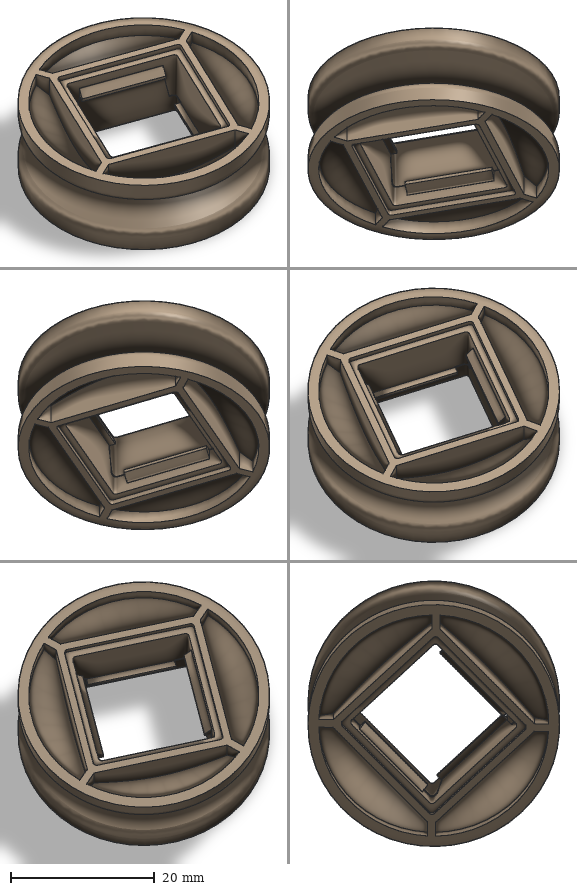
import cadquery as cq
import math

outer_diameter = 35.0
width = 12.0
outer_radius = outer_diameter / 2
half_width = width / 2

groove_slope = math.radians(30)
groove_apex_radius = 12.0
groove_root_fillet = 0.3
rim_fillet = 1.5

shell = 1.5
hub_size = 20.58
spoke_width = 1.12

recess_size = 18.48
recess_depth = 0.8
recess_corner = 0.5
recess_floor = half_width - recess_depth
bore_size = 16.6
bore_corner = 0.5
bore_draft = math.radians(1.5)

rib_length = 12.6
rib_gap = 14.42
rib_lip = 0.5
rib_seat = 2.17
rib_ramp = math.radians(45)
rib_blend = 0.28
rib_embed = 0.18
reach_base_length = 14.35


def groove_profile_height(radius):
    """Height of the upper groove wall above the mid-plane."""
    return (radius - groove_apex_radius) * math.tan(groove_slope)


def make_wheel():
    """Solid wheel with a rounded V groove."""
    blank = cq.Workplane("XY").circle(outer_radius).extrude(half_width, both=True)
    rim_height = groove_profile_height(outer_radius)
    groove = (
        cq.Workplane("XZ")
        .moveTo(groove_apex_radius, 0)
        .lineTo(outer_radius, rim_height)
        .lineTo(outer_radius, -rim_height)
        .close()
        .revolve(360, (0, 0, 0), (0, 1, 0))
    )
    rim_edges = cq.selectors.RadiusNthSelector(-1)
    groove_zone = cq.selectors.BoxSelector(
        (-outer_diameter, -outer_diameter, -(rim_height + half_width) / 2),
        (outer_diameter, outer_diameter, (rim_height + half_width) / 2),
    )
    return (
        blank.cut(groove)
        .edges(cq.selectors.RadiusNthSelector(0))
        .fillet(groove_root_fillet)
        .edges(groove_zone)
        .edges(rim_edges)
        .fillet(rim_fillet)
    )


def make_pockets():
    """Four pockets sunk from the top, split by the square hub and diagonal spokes."""
    inner_radius = outer_radius - shell
    floor_offset = shell / math.cos(groove_slope)
    floor_rim = groove_profile_height(inner_radius) + floor_offset
    floor_axis = groove_profile_height(0) + floor_offset
    bowl = (
        cq.Workplane("XZ")
        .moveTo(0, floor_axis)
        .lineTo(inner_radius, floor_rim)
        .lineTo(inner_radius, half_width)
        .lineTo(0, half_width)
        .close()
        .revolve(360, (0, 0, 0), (0, 1, 0))
    )
    bowl = bowl.cut(cq.Workplane("XY").rect(hub_size, hub_size).extrude(width, both=True))
    for angle in (45, 135):
        spoke = cq.Workplane("XY").rect(outer_diameter, spoke_width).extrude(width, both=True)
        bowl = bowl.cut(spoke.rotate((0, 0, 0), (0, 0, 1), angle))
    return bowl


def make_recess():
    """Shallow square step around the mouth of the bore, at the top."""
    return (
        cq.Workplane("XY", origin=(0, 0, recess_floor))
        .rect(recess_size, recess_size)
        .extrude(recess_depth)
        .edges("|Z")
        .fillet(recess_corner)
    )


def flipped(shape):
    """The same shape turned to the bottom side."""
    return shape.rotate((0, 0, 0), (1, 0, 0), 180)


def make_bore():
    """Square bore cut by two drafted cores, one entering from each end.

    The cores meet at the lower ribs, except that the bottom core reaches up
    to the upper ribs in front of the X walls.
    """
    throat_size = bore_size - 2 * (recess_floor + rib_seat) * math.tan(bore_draft)
    throat = cq.Sketch().rect(throat_size, throat_size).vertices().fillet(bore_corner)
    mouth = cq.Sketch().rect(bore_size, bore_size).vertices().fillet(bore_corner)
    core_length = recess_floor + rib_seat
    top_core = (
        cq.Workplane("XY", origin=(0, 0, -rib_seat))
        .placeSketch(throat, mouth.moved(cq.Location(cq.Vector(0, 0, core_length))))
        .loft()
    )
    bottom_core = flipped(top_core)

    bottom_core_reach = (
        cq.Workplane("YZ")
        .moveTo(-outer_radius, -half_width)
        .lineTo(outer_radius, -half_width)
        .lineTo(outer_radius, -rib_seat)
        .lineTo(reach_base_length / 2, -rib_seat)
        .lineTo(rib_length / 2, rib_seat)
        .lineTo(-rib_length / 2, rib_seat)
        .lineTo(-reach_base_length / 2, -rib_seat)
        .lineTo(-outer_radius, -rib_seat)
        .close()
        .extrude(outer_radius, both=True)
    )
    return top_core.cut(bottom_core_reach).union(bottom_core.intersect(bottom_core_reach))


def make_rib():
    """Upper rib on the +X wall: flat underside, upright lip and a 45 degree ramp above.

    A concave arc blends the ramp into the bore wall.
    """
    tip = rib_gap / 2
    ramp_foot = rib_seat + rib_lip
    wall = bore_size / 2 - (recess_floor - ramp_foot) * math.tan(bore_draft)
    blend_tangent = rib_blend * math.tan(rib_ramp / 2)
    ramp_top_x = wall - blend_tangent * math.sin(rib_ramp)
    ramp_top_z = ramp_foot + ramp_top_x - tip
    blend_top_z = ramp_foot + wall - tip + blend_tangent
    back = wall + rib_embed
    return (
        cq.Workplane("XZ")
        .moveTo(back, rib_seat)
        .lineTo(tip, rib_seat)
        .lineTo(tip, ramp_foot)
        .lineTo(ramp_top_x, ramp_top_z)
        .tangentArcPoint((wall, blend_top_z), relative=False)
        .lineTo(back, blend_top_z)
        .close()
        .extrude(rib_length / 2, both=True)
    )


result = make_wheel()
for end_feature in (make_pockets(), make_recess()):
    result = result.cut(end_feature).cut(flipped(end_feature))
result = result.cut(make_bore())

upper_rib = make_rib()
lower_rib = flipped(upper_rib).rotate((0, 0, 0), (0, 0, 1), 90)
for rib in (upper_rib, lower_rib):
    opposite_rib = rib.rotate((0, 0, 0), (0, 0, 1), 180)
    result = result.union(rib).union(opposite_rib)